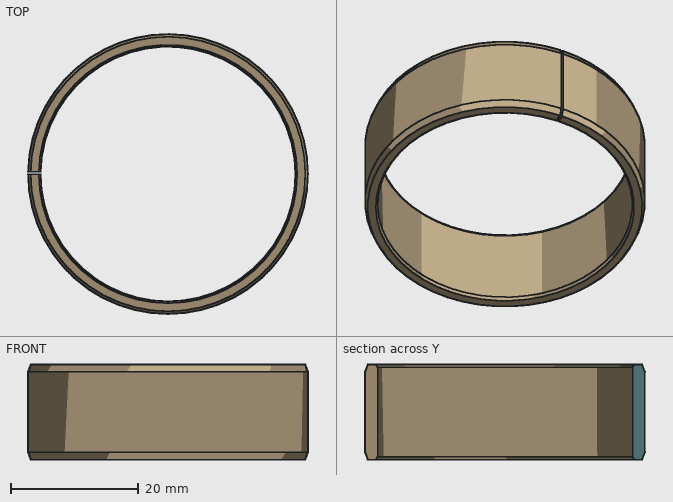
import cadquery as cq
import math

outer_diameter = 44.0
wall = 2.0
height = 15.0

outer_chamfer_height = 1.2
outer_chamfer_angle = 20.0

inner_chamfer_height = 0.5
inner_chamfer_depth = 0.3

slit_width = 0.35

outer_radius = outer_diameter / 2
inner_radius = outer_radius - wall
outer_chamfer_depth = outer_chamfer_height * math.tan(math.radians(outer_chamfer_angle))


def make_ring():
    """Revolve the chamfered wall section about the Z axis."""
    section = (
        cq.Workplane("XZ")
        .moveTo(inner_radius + inner_chamfer_depth, 0)
        .lineTo(outer_radius - outer_chamfer_depth, 0)
        .lineTo(outer_radius, outer_chamfer_height)
        .lineTo(outer_radius, height - outer_chamfer_height)
        .lineTo(outer_radius - outer_chamfer_depth, height)
        .lineTo(inner_radius + inner_chamfer_depth, height)
        .lineTo(inner_radius, height - inner_chamfer_height)
        .lineTo(inner_radius, inner_chamfer_height)
        .close()
    )
    return section.revolve(360, (0, 0, 0), (0, 1, 0))


def make_slit():
    """Radial slab reaching from the axis out past the -X side of the wall."""
    slab = cq.Workplane("XY").box(outer_diameter, slit_width, height, centered=(True, False, False))
    return slab.translate((-outer_radius, 0, 0))


result = make_ring().cut(make_slit())